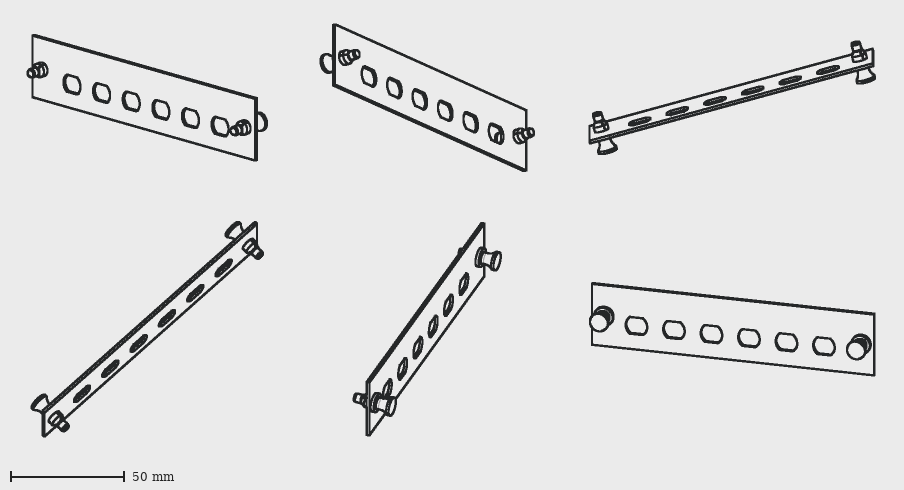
import cadquery as cq

panel_length = 129.5
panel_height = 28.8
panel_thickness = 1.3

cutout_count = 6
cutout_diameter = 9.8
cutout_height = 7.9
cutout_pitch = 17.2
cutout_row_x = 1.3
cutout_row_z = -3.2

fastener_x = 59.1

flange_radius = 4.3
flange_thickness = 1.4
collar_radius = 2.8
collar_thickness = 0.4
sleeve_radius = 3.1
sleeve_straight = 2.3
sleeve_cone = 1.8
sleeve_end_land = 0.4
sleeve_end_radius = 2.1
slot_count = 3
slot_width = 0.2
first_slot_angle = 180

knob_radius = 4.1
knob_rim = 1.2
knob_flare = 4.3
flare_hollow = 0.5
neck_radius = 2.6
knob_back_y = 9.8
shank_radius = 2.0
tip_front_y = -7.9
tip_chamfer_radial = 0.3
tip_chamfer_axial = 0.8

flange_back_y = panel_thickness + flange_thickness
sleeve_back_y = flange_back_y + collar_thickness
cone_end_y = -sleeve_straight - sleeve_cone
sleeve_front_y = cone_end_y - sleeve_end_land


def revolve_about_y(profile):
    """Turn a closed (radius, Y) profile about the Y axis."""
    return profile.close().revolve(360, (0, 0, 0), (0, 1, 0))


def make_panel():
    """Flat panel with the cutout row and a hole for each sleeve."""
    panel = cq.Workplane("XY").box(panel_length, panel_thickness, panel_height)
    panel = panel.translate((0, panel_thickness / 2, 0))
    cutout = (
        cq.Workplane("XZ").circle(cutout_diameter / 2).extrude(panel_thickness, both=True)
        .intersect(cq.Workplane("XY").box(cutout_diameter, 4 * panel_thickness, cutout_height))
    )
    for index in range(cutout_count):
        x = cutout_row_x + (index - (cutout_count - 1) / 2) * cutout_pitch
        panel = panel.cut(cutout.translate((x, 0, cutout_row_z)))
    sleeve_hole = cq.Workplane("XZ").circle(sleeve_radius).extrude(panel_thickness, both=True)
    for x in (-fastener_x, fastener_x):
        panel = panel.cut(sleeve_hole.translate((x, 0, 0)))
    return panel


def make_sleeve():
    """Flanged sleeve with a tapered front end, slotted lengthwise in front of the panel."""
    sleeve = revolve_about_y(
        cq.Workplane("XY")
        .moveTo(shank_radius, sleeve_back_y)
        .lineTo(collar_radius, sleeve_back_y)
        .lineTo(collar_radius, flange_back_y)
        .lineTo(flange_radius, flange_back_y)
        .lineTo(flange_radius, panel_thickness)
        .lineTo(sleeve_radius, panel_thickness)
        .lineTo(sleeve_radius, -sleeve_straight)
        .lineTo(sleeve_end_radius, cone_end_y)
        .lineTo(sleeve_end_radius, sleeve_front_y)
        .lineTo(shank_radius, sleeve_front_y)
    )
    slot = cq.Workplane("XY").box(
        sleeve_radius * 2, -sleeve_front_y, slot_width, centered=(False, False, True)
    )
    slot = slot.translate((0, sleeve_front_y, 0))
    for index in range(slot_count):
        angle = first_slot_angle + index * 360 / slot_count
        sleeve = sleeve.cut(slot.rotate((0, 0, 0), (0, 1, 0), angle))
    return sleeve


def make_plunger():
    """Flared knob behind the panel and the round shank that runs through the sleeve."""
    rim_y = knob_back_y - knob_rim
    neck_y = rim_y - knob_flare
    flare_mid = ((knob_radius + neck_radius) / 2 - flare_hollow, (rim_y + neck_y) / 2)
    return revolve_about_y(
        cq.Workplane("XY")
        .moveTo(0, knob_back_y)
        .lineTo(knob_radius, knob_back_y)
        .lineTo(knob_radius, rim_y)
        .threePointArc(flare_mid, (neck_radius, neck_y))
        .lineTo(neck_radius, sleeve_back_y)
        .lineTo(shank_radius, sleeve_back_y)
        .lineTo(shank_radius, tip_front_y + tip_chamfer_axial)
        .lineTo(shank_radius - tip_chamfer_radial, tip_front_y)
        .lineTo(0, tip_front_y)
    )


panel = make_panel()
sleeves = []
plungers = []
for x in (-fastener_x, fastener_x):
    sleeves.append(make_sleeve().translate((x, 0, 0)).val())
    plungers.append(make_plunger().translate((x, 0, 0)).val())

result = cq.Compound.makeCompound([panel.val(), *sleeves, *plungers])